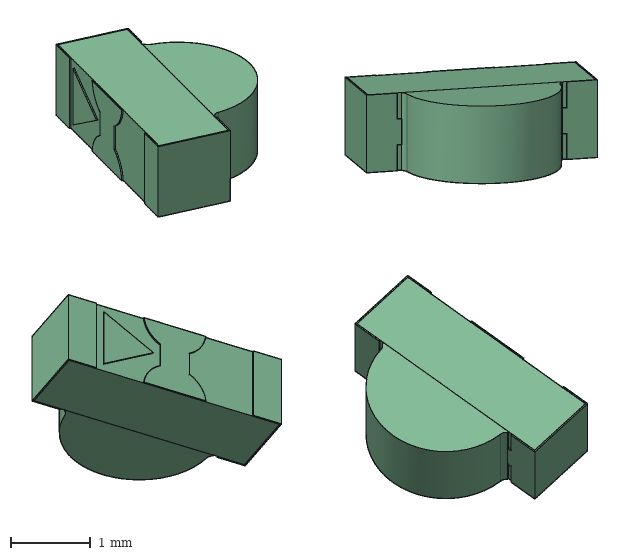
import cadquery as cq
import math

length = 3.0
height = length / 3
depth = height
plating = 0.02
core_length = length - 2 * plating
core_depth = depth - 2 * plating
core_back = core_depth / 2
core_front = -core_back

terminal_reach = 0.4

terminal_inner_end = length / 2 - terminal_reach

lens_radius = length / 3
lens_half_width = 1.045
tab_height = height / 3

triangle_left = -1.0
triangle_side = 0.8
mask_half_waist = 0.205
mask_circle_radius = 0.438
mask_circle_z = 0.552


def make_core():
    return cq.Workplane("XY").box(core_length, core_depth, height)


def make_terminal(side):
    """Cap around one end of the core, with a tab on its back; side is -1 or 1."""
    cap = cq.Workplane("XY").box(terminal_reach, depth, height)
    cap = cap.translate((side * (length - terminal_reach) / 2, 0, 0))
    tab_length = terminal_inner_end - lens_half_width
    tab = cq.Workplane("XY").box(tab_length, plating, tab_height)
    tab_x = side * (terminal_inner_end + lens_half_width) / 2
    tab = tab.translate((tab_x, core_back + plating / 2, 0))
    return cap.cut(make_core()).union(tab)


def flare_height(x, flare_radius):
    """Distance of the lens flare from the back of the core at the given x."""
    return flare_radius - math.sqrt(flare_radius**2 - (terminal_inner_end - x) ** 2)


def make_lens():
    """Half-round dome whose foot flares into the back of the core."""
    flare_radius = (terminal_inner_end**2 - lens_radius**2) / (2 * lens_radius)
    touch_scale = lens_radius / (lens_radius + flare_radius)
    touch_x = terminal_inner_end * touch_scale
    touch_y = flare_radius * touch_scale
    middle_x = (touch_x + lens_half_width) / 2
    middle_y = flare_height(middle_x, flare_radius)
    end_y = flare_height(lens_half_width, flare_radius)
    return (
        cq.Workplane("XY", origin=(0, core_back, -height / 2))
        .moveTo(-lens_half_width, 0)
        .lineTo(lens_half_width, 0)
        .lineTo(lens_half_width, end_y)
        .threePointArc((middle_x, middle_y), (touch_x, touch_y))
        .threePointArc((0, lens_radius), (-touch_x, touch_y))
        .threePointArc((-middle_x, middle_y), (-lens_half_width, end_y))
        .close()
        .extrude(height)
    )


def front_face():
    """Workplane on the front of the core, with local Y along Z, facing outward."""
    return cq.Workplane("XZ", origin=(0, core_front, 0))


def make_triangle():
    """Polarity arrow pointing along +X."""
    tip_x = triangle_left + triangle_side * math.sqrt(3) / 2
    corners = [
        (triangle_left, -triangle_side / 2),
        (tip_x, 0),
        (triangle_left, triangle_side / 2),
    ]
    return front_face().polyline(corners).close().extrude(plating)


def make_mask():
    """Band across the front: a straight waist joined to a round lobe at each edge."""
    band = front_face().rect(2 * mask_half_waist, height).extrude(plating)
    for side in (-1, 1):
        lobe = front_face().center(0, side * mask_circle_z).circle(mask_circle_radius).extrude(plating)
        band = band.union(lobe)
    face_limit = cq.Workplane("XY").box(length, depth, height)
    return band.intersect(face_limit)


core = make_core()
terminals = [make_terminal(side) for side in (-1, 1)]
lens = make_lens()
triangle = make_triangle()
mask = make_mask()

result = cq.Compound.makeCompound(
    [core.val(), *[terminal.val() for terminal in terminals], lens.val(), triangle.val(), mask.val()]
)